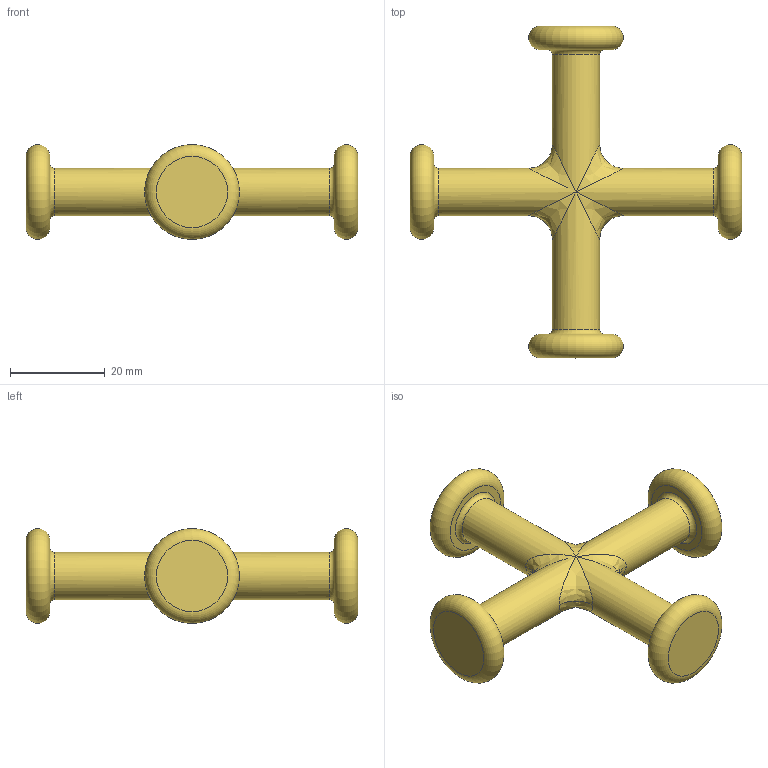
import cadquery as cq

SPAN = 70.0
ARM_DIAMETER = 10.0
KNOB_DIAMETER = 20.0
KNOB_THICKNESS = 5.0
NECK_FILLET = 1.0
CROSS_FILLET = 5.0

ARM_RADIUS = ARM_DIAMETER / 2
KNOB_RADIUS = KNOB_DIAMETER / 2
RIM_RADIUS = KNOB_THICKNESS / 2
HALF_SPAN = SPAN / 2
KNOB_BACK = HALF_SPAN - KNOB_THICKNESS


def make_arm(angle):
    """Arm along +X with its neck fillet and round-rimmed knob, turned about Z."""
    rim_centre = KNOB_RADIUS - RIM_RADIUS
    profile = (
        cq.Workplane("XY")
        .lineTo(0, ARM_RADIUS)
        .lineTo(KNOB_BACK - NECK_FILLET, ARM_RADIUS)
        .radiusArc((KNOB_BACK, ARM_RADIUS + NECK_FILLET), -NECK_FILLET)
        .lineTo(KNOB_BACK, rim_centre)
        .threePointArc((KNOB_BACK + RIM_RADIUS, KNOB_RADIUS), (HALF_SPAN, rim_centre))
        .lineTo(HALF_SPAN, 0)
        .close()
    )
    arm = profile.revolve(360, (0, 0, 0), (1, 0, 0))
    return arm.rotate((0, 0, 0), (0, 0, 1), angle)


def make_bar(angle):
    """Two opposite arms joined into one straight bar."""
    return make_arm(angle).union(make_arm(angle + 180))


cross = make_bar(0).union(make_bar(90))
meeting_edges = cross.edges("%ELLIPSE")
result = meeting_edges.fillet(CROSS_FILLET)